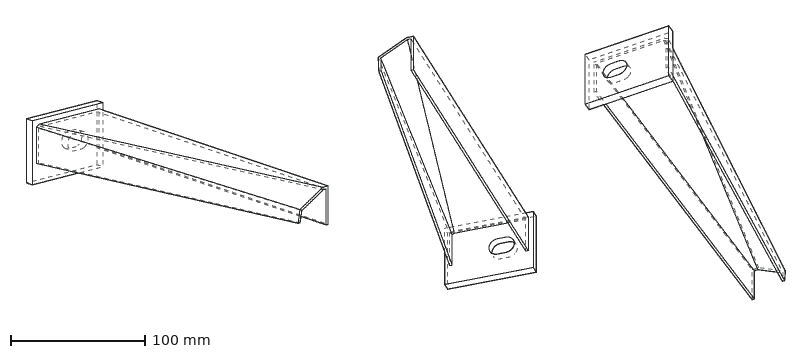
import cadquery as cq

TOTAL_LENGTH = 266.5
PLATE_THICKNESS = 7.0
PLATE_WIDTH = 70.0
PLATE_HEIGHT = 50.0

SLOT_LENGTH = 20.0
SLOT_HEIGHT = 13.5
SLOT_FROM_BACK = 25.0

SHEET_THICKNESS = 2.0
ARM_INSET = 4.0
ARM_HEIGHT = 30.0
ROOT_WIDTH = 62.0
TIP_WIDTH = 28.0
ROOT_TOP_WIDTH = 59.0
TIP_TOP_WIDTH = 5.3
TIP_FOLD_DROP = 12.8
FRONT_WALL_RISE = 6.0
FRONT_WALL_SETBACK = 1.9

MARGIN = 13.3
BACK_Y = PLATE_WIDTH - ARM_INSET
ARM_TOP = PLATE_HEIGHT - ARM_INSET
ARM_BOTTOM = ARM_TOP - ARM_HEIGHT
ARM_LENGTH = TOTAL_LENGTH - PLATE_THICKNESS


def make_plate():
    """Rectangular plate with a round-ended slot."""
    plate = cq.Workplane("XY").box(PLATE_THICKNESS, PLATE_WIDTH, PLATE_HEIGHT, centered=False)
    slot = (
        cq.Workplane("YZ", origin=(0, PLATE_WIDTH - SLOT_FROM_BACK, PLATE_HEIGHT / 2))
        .slot2D(SLOT_LENGTH, SLOT_HEIGHT)
        .extrude(PLATE_THICKNESS)
    )
    return plate.cut(slot)


def outside_of(point, along, across, inset):
    """Block outside the plane that holds point and both directions, moved inward by inset."""
    normal = along.cross(across).normalized()
    plane = cq.Plane(origin=point - normal * inset, xDir=along, normal=normal)
    size = 3 * TOTAL_LENGTH
    return cq.Workplane(plane).rect(size, size).extrude(size)


def make_envelope(inset, start_x, end_x, bottom):
    """Space inside the four faces of the arm, each moved inward by inset."""
    block = cq.Workplane("XY").box(
        end_x - start_x,
        PLATE_WIDTH,
        ARM_TOP - inset - bottom,
        centered=False,
    ).translate((start_x, BACK_Y - inset - PLATE_WIDTH, bottom))

    front_root = cq.Vector(PLATE_THICKNESS, BACK_Y - ROOT_WIDTH, ARM_TOP)
    front_along = cq.Vector(ARM_LENGTH, ROOT_WIDTH - TIP_WIDTH, 0)
    front_side = outside_of(front_root, front_along, cq.Vector(0, 0, 1), inset)

    fold_root = cq.Vector(PLATE_THICKNESS, BACK_Y - ROOT_TOP_WIDTH, ARM_TOP)
    fold_along = cq.Vector(ARM_LENGTH, ROOT_TOP_WIDTH - TIP_TOP_WIDTH, 0)
    slope_up = cq.Vector(0, TIP_WIDTH - TIP_TOP_WIDTH, TIP_FOLD_DROP)
    slope_side = outside_of(fold_root, fold_along, slope_up, inset)

    return block.cut(front_side).cut(slope_side)


def make_front_wall_trim():
    """Wedge that raises the front wall's lower edge and slants its free end."""
    low = ARM_BOTTOM - MARGIN
    beyond = TOTAL_LENGTH + MARGIN
    fold_z = ARM_TOP - TIP_FOLD_DROP
    outline = [
        (PLATE_THICKNESS, low),
        (PLATE_THICKNESS, ARM_BOTTOM),
        (TOTAL_LENGTH - FRONT_WALL_SETBACK, ARM_BOTTOM + FRONT_WALL_RISE),
        (TOTAL_LENGTH, fold_z),
        (beyond, fold_z),
        (beyond, low),
    ]
    inner_back_y = BACK_Y - SHEET_THICKNESS
    return (
        cq.Workplane("XZ", origin=(0, inner_back_y, 0))
        .polyline(outline)
        .close()
        .extrude(PLATE_WIDTH)
    )


def make_arm():
    """Tapered sheet arm: back wall, flat top, sloping face and front wall."""
    shell = make_envelope(0, PLATE_THICKNESS, TOTAL_LENGTH, ARM_BOTTOM)
    cavity = make_envelope(
        SHEET_THICKNESS,
        PLATE_THICKNESS - MARGIN,
        TOTAL_LENGTH + MARGIN,
        ARM_BOTTOM - MARGIN,
    )
    return shell.cut(cavity).cut(make_front_wall_trim())


plate = make_plate()
arm = make_arm()
result = cq.Compound.makeCompound([*plate.solids().vals(), *arm.solids().vals()])